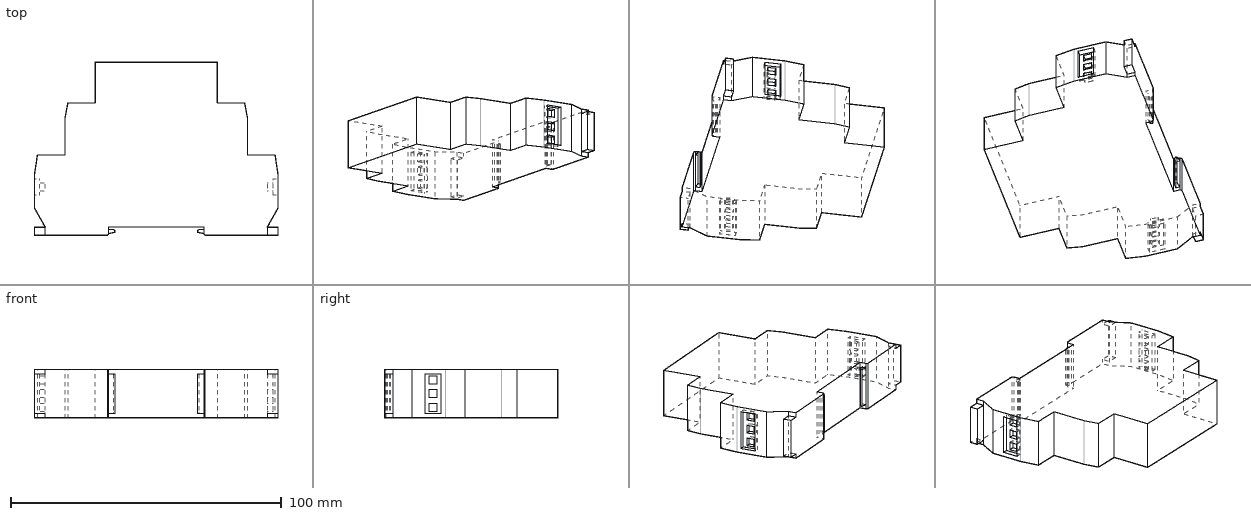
import cadquery as cq

half_width = 45.0
depth = 64.0
height = 17.9

base_half_width = 41.0
lower_shoulder_half_width = 43.9
middle_half_width = 33.75
middle_shoulder_half_width = 32.7
nose_half_width = 22.6

foot_depth = 3.1
base_taper_end = 10.1
lower_side_end = 22.4
lower_shoulder = 29.7
middle_side_end = 43.2
middle_shoulder = 49.0

recess_half_width = 17.55
foot_bevel = 0.5

edge_margin = 1.7
inset_height = height - 2 * edge_margin

catch_reach = 2.25
catch_root_low = 0.6
catch_root_high = 2.25
catch_tip_low = 1.1
catch_tip_high = 1.8
catch_tip_bevel = 0.5

pocket_start = 14.85
pocket_end = 20.8
pocket_depth = 2.0
opening_size = 3.0
opening_pitch = 5.0
opening_depth = 2.0
opening_count = 3


def mirrored_pair(solid):
    """The solid together with its mirror image across X = 0."""
    return solid.union(solid.mirror("YZ"))


def prism(points, thickness):
    """Extrude an XY outline equally to both sides of Z = 0."""
    return cq.Workplane("XY").polyline(points).close().extrude(thickness / 2, both=True)


def make_housing():
    right_side = [
        (recess_half_width, foot_depth),
        (recess_half_width, foot_bevel),
        (recess_half_width + foot_bevel, 0),
        (base_half_width, 0),
        (base_half_width, foot_depth),
        (half_width, base_taper_end),
        (half_width, lower_side_end),
        (lower_shoulder_half_width, lower_shoulder),
        (middle_half_width, lower_shoulder),
        (middle_half_width, middle_side_end),
        (middle_shoulder_half_width, middle_shoulder),
        (nose_half_width, middle_shoulder),
        (nose_half_width, depth),
    ]
    left_side = [(-x, y) for x, y in reversed(right_side)]
    return prism(right_side + left_side, height)


def make_tabs():
    """Release tabs beside the feet, reaching out to the full width."""
    tab = cq.Workplane("XY").box(
        half_width - base_half_width, foot_depth, inset_height, centered=(False, False, True)
    )
    return mirrored_pair(tab.translate((base_half_width, 0, 0)))


def make_catches():
    """Tapered catches pointing into the rail recess."""
    tip = recess_half_width - catch_reach
    outline = [
        (recess_half_width, catch_root_low),
        (tip, catch_tip_low),
        (tip, catch_tip_high),
        (tip + catch_tip_bevel, catch_root_high),
        (recess_half_width, catch_root_high),
    ]
    return mirrored_pair(prism(outline, inset_height))


def make_terminal_cuts():
    """Pockets sunk into the side walls, each with its row of openings."""
    pocket_floor = half_width - pocket_depth
    pocket_middle = (pocket_start + pocket_end) / 2
    cuts = cq.Workplane("XY").box(
        pocket_depth, pocket_end - pocket_start, inset_height, centered=(False, True, True)
    ).translate((pocket_floor, pocket_middle, 0))
    for index in range(opening_count):
        z = (index - (opening_count - 1) / 2) * opening_pitch
        opening = cq.Workplane("XY").box(
            opening_depth, opening_size, opening_size, centered=(False, True, True)
        )
        cuts = cuts.union(opening.translate((pocket_floor - opening_depth, pocket_middle, z)))
    return mirrored_pair(cuts)


result = make_housing().union(make_tabs()).union(make_catches()).cut(make_terminal_cuts())